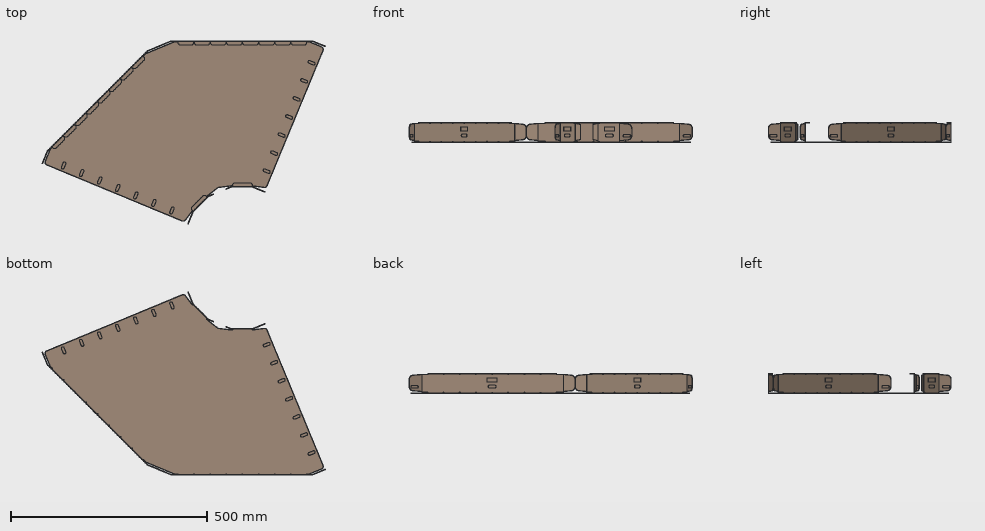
import cadquery as cq
import math


SHEET = 1.1
HEIGHT = 50.5
HALF_ANGLE = 22.5
COS = math.cos(math.radians(HALF_ANGLE))
SIN = math.sin(math.radians(HALF_ANGLE))

OUTER_FACE = 520.0
OUTER_HALF = 180.0
INNER_FACE = 148.0
INNER_HALF = 27.5
DETAIL_SHIFT = 1.5
EDGE_DROP = 2.0
OVERHANG = 2.6
JOINT_GAP = 0.3
INNER_JOINT_FLAP = 14.5

FLAP_TAPER = 3.0
FLAP_CORNER = 11.5

TAB_PITCH = 41.0
TAB_DEPTH = 11.0
TAB_CHAMFER = 4.0
TAB_GAP = 1.5
OUTER_TABS = 8
INNER_TAB = 50.5

PRESS_DEPTH = 0.3
SLOT_LENGTH = 20.0
SLOT_WIDTH = 7.0
WALL_SLOT_Z = 17.0
FLAP_SLOT_Z = 16.5
FLAP_SLOT_PLACE = 20.0
WINDOW_LENGTH = 24.5
WINDOW_HEIGHT = 11.0
WINDOW_Z = 34.0

FLOOR_GAP = 2.0
CORNER_GAP = 5.0
FLOOR_CORNER = 7.0
FLOOR_MARGIN = 1.5
INNER_RIM = 151.0
INNER_CORNER = 159.0
FLOOR_SLOTS = 7
FLOOR_SLOT_LENGTH = 19.0
FLOOR_SLOT_PITCH = 50.0
FLOOR_SLOT_MIDDLE = 348.0
FLOOR_SLOT_INSET = 14.0


def pressed(outline):
    """Two thin cutters sunk into both faces of a sheet lying from 0 to SHEET."""
    lower = outline.extrude(PRESS_DEPTH)
    return lower.union(lower.translate((0, 0, SHEET - PRESS_DEPTH)))


def upright(sheet):
    """Stand a flat sheet up: its Y becomes Z and its thickness runs towards -Y."""
    return sheet.rotate((0, 0, 0), (1, 0, 0), 90).translate((0, SHEET, 0))


def flap(length, rounded, slotted):
    """Flap along +X, folded towards -Y about the Z axis, which lies on its outer face."""
    low = 2 * EDGE_DROP
    high = HEIGHT - EDGE_DROP
    sheet = (
        cq.Workplane("XY")
        .polyline([(0, low), (length, low + FLAP_TAPER), (length, high - FLAP_TAPER), (0, high)])
        .close()
        .extrude(SHEET)
    )
    if rounded:
        sheet = sheet.edges("|Z and >X").fillet(FLAP_CORNER)
    if slotted:
        slot = cq.Workplane("XY").center(FLAP_SLOT_PLACE, FLAP_SLOT_Z).slot2D(SLOT_LENGTH, SLOT_WIDTH)
        sheet = sheet.cut(pressed(slot))
    return upright(sheet).translate((0, -SHEET, 0)).rotate((0, 0, 0), (0, 0, 1), -HALF_ANGLE)


def web(half_length):
    """Wall between its two folds, with the pressed window and slot at the middle."""
    sheet = (
        cq.Workplane("XY")
        .rect(2 * half_length, HEIGHT - 2 * EDGE_DROP)
        .extrude(SHEET)
        .translate((0, HEIGHT / 2, 0))
    )
    window = cq.Workplane("XY").center(DETAIL_SHIFT, WINDOW_Z).rect(WINDOW_LENGTH, WINDOW_HEIGHT)
    slot = cq.Workplane("XY").center(DETAIL_SHIFT, WALL_SLOT_Z).slot2D(SLOT_LENGTH, SLOT_WIDTH)
    return upright(sheet.cut(pressed(window)).cut(pressed(slot)))


def tabs(count, pitch, width, side):
    """Row of tabs folded towards side (+1 or -1 in Y) at the top and the bottom."""
    row = cq.Workplane("XY")
    back = 0 if side > 0 else SHEET
    tip = back + side * TAB_DEPTH
    shoulder = tip - side * TAB_CHAMFER
    half = width / 2
    for index in range(count):
        x = DETAIL_SHIFT + (index - (count - 1) / 2) * pitch
        outline = [
            (x - half, back), (x - half, shoulder), (x - half + TAB_CHAMFER, tip),
            (x + half - TAB_CHAMFER, tip), (x + half, shoulder), (x + half, back),
        ]
        tab = cq.Workplane("XY").polyline(outline).close().extrude(SHEET)
        rim = cq.Workplane("XY").box(width, SHEET, EDGE_DROP, centered=(True, False, False))
        rim = rim.translate((x, 0, 0))
        row = row.add(tab).add(rim)
        row = row.add(tab.translate((0, 0, HEIGHT - SHEET)))
        row = row.add(rim.translate((0, 0, HEIGHT - EDGE_DROP)))
    return row.combine()


def wall(face, half_length, joint_length, joint_rounded, tab_row):
    """Complete folded wall: web, tabs, joint flap on the -X end and end flap on the +X end."""
    end_length = face * SIN - half_length * COS + OVERHANG
    end_flap = flap(end_length, True, True).translate((half_length, SHEET, 0))
    joint_flap = flap(joint_length, joint_rounded, False).translate((half_length, SHEET, 0)).mirror("YZ")
    return (
        web(half_length)
        .union(end_flap)
        .union(joint_flap)
        .union(tab_row)
    )


def radial_corner(radius, margin):
    """Point at the given radius, set outwards by margin from the radial line of the +X end."""
    return (radius * SIN + margin * COS, radius * COS - margin * SIN)


def floor():
    """Floor of one sector, with the pressed slots along its radial edge."""
    rim_y = OUTER_FACE - FLOOR_GAP
    flap_face = OUTER_FACE * COS + OUTER_HALF * SIN
    rim_radius = flap_face - CORNER_GAP
    rim_half = (rim_radius - rim_y * COS) / SIN
    right_side = [
        (INNER_HALF, INNER_RIM),
        radial_corner(INNER_CORNER, FLOOR_MARGIN),
        radial_corner(rim_radius, FLOOR_MARGIN),
        (rim_half, rim_y),
    ]
    left_side = [
        (-rim_half, rim_y),
        (-rim_radius * SIN, rim_radius * COS),
        (-INNER_CORNER * SIN, INNER_CORNER * COS),
        (-INNER_HALF, INNER_RIM),
    ]
    plate = cq.Workplane("XY").polyline(right_side + left_side).close().extrude(SHEET)
    for radius in (INNER_CORNER, rim_radius):
        corner = radial_corner(radius, FLOOR_MARGIN) + (SHEET / 2,)
        plate = plate.edges(cq.selectors.NearestToPointSelector(corner)).fillet(FLOOR_CORNER)

    for index in range(FLOOR_SLOTS):
        radius = FLOOR_SLOT_MIDDLE + (index - (FLOOR_SLOTS - 1) / 2) * FLOOR_SLOT_PITCH
        slot = cq.Workplane("XY").center(-FLOOR_SLOT_INSET, radius).slot2D(FLOOR_SLOT_LENGTH, SLOT_WIDTH)
        plate = plate.cut(pressed(slot).rotate((0, 0, 0), (0, 0, 1), -HALF_ANGLE))
    return plate


outer_joint_flap = OUTER_FACE * SIN - OUTER_HALF * COS - JOINT_GAP / 2
outer_wall = wall(
    OUTER_FACE, OUTER_HALF, outer_joint_flap, True,
    tabs(OUTER_TABS, TAB_PITCH, TAB_PITCH - TAB_GAP, -1),
).translate((0, OUTER_FACE - SHEET, 0))
inner_wall = wall(
    INNER_FACE, INNER_HALF, INNER_JOINT_FLAP, False,
    tabs(1, INNER_TAB, INNER_TAB, 1),
).translate((0, INNER_FACE, 0))

sector = floor().union(outer_wall).union(inner_wall)

mirror_normal = (COS, SIN, 0)
result = sector.union(sector.mirror(mirror_normal))